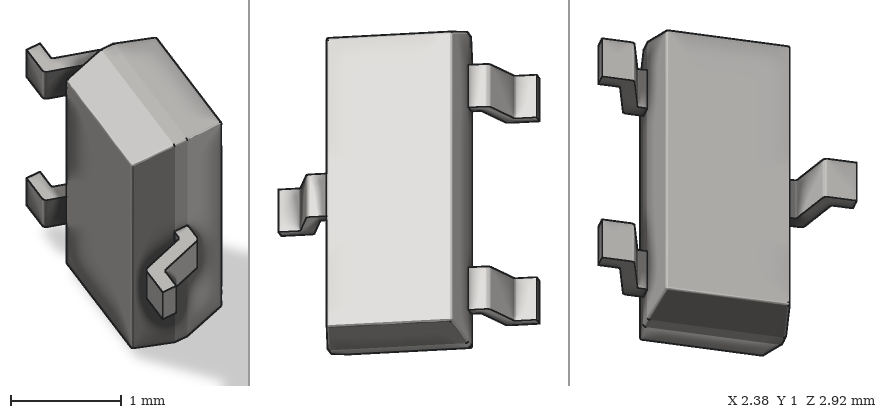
import cadquery as cq


housing_length = 2.92
housing_width = 1.3
face_length = 2.713
face_width = 1.155
front_y = 0.045
back_y = 1.0
band_height = 0.135
edge_radius = 0.023

lead_span = 2.38
lead_thickness = 0.143
lead_width = 0.4
lead_offset = 0.95
shoulder_y = 0.59
outer_knee_x = 0.84
inner_knee_x = 0.742
slope_run = 0.145
outer_bend_radius = 0.047
inner_bend_radius = 0.02

band_back_y = shoulder_y
band_front_y = band_back_y - band_height
root_x = housing_width / 2
toe_x = lead_span / 2


def rounded_outline(width, length):
    """Rectangular cross-section of the housing with rounded corners."""
    return cq.Sketch().rect(width, length).vertices().fillet(edge_radius)


def tapered_half(base_y, end_y):
    """Half of the housing, narrowing from the central band to a round-edged end face."""
    direction = 1 if end_y > base_y else -1
    base_plane = cq.Plane(origin=(0, base_y, 0), xDir=(1, 0, 0), normal=(0, direction, 0))
    base_outline = rounded_outline(housing_width, housing_length)
    end_outline = rounded_outline(face_width, face_length)
    end_location = cq.Location(cq.Vector(0, 0, abs(end_y - base_y)))
    return (
        cq.Workplane(base_plane)
        .placeSketch(base_outline, end_outline.moved(end_location))
        .loft(ruled=True)
        .faces(">Y" if direction > 0 else "<Y")
        .edges()
        .fillet(edge_radius)
    )


def make_housing():
    """Straight band between two tapered halves."""
    band = (
        cq.Workplane("XZ", origin=(0, band_back_y, 0))
        .placeSketch(rounded_outline(housing_width, housing_length))
        .extrude(band_height)
    )
    return (
        band
        .union(tapered_half(band_back_y, back_y))
        .union(tapered_half(band_front_y, front_y))
    )


def make_lead(side, center_z):
    """Gull-wing lead from the housing wall to its foot; side is -1 for -X and +1 for +X."""
    outline = [
        (root_x, shoulder_y),
        (outer_knee_x, shoulder_y),
        (outer_knee_x + slope_run, lead_thickness),
        (toe_x, lead_thickness),
        (toe_x, 0),
        (inner_knee_x + slope_run, 0),
        (inner_knee_x, shoulder_y - lead_thickness),
        (root_x, shoulder_y - lead_thickness),
    ]
    blank = (
        cq.Workplane("XY", origin=(0, 0, center_z))
        .polyline([(side * x, y) for x, y in outline])
        .close()
        .extrude(lead_width / 2, both=True)
    )

    def bend_edge(x, y):
        return cq.selectors.NearestToPointSelector((side * x, y, center_z))

    return (
        blank
        .edges(bend_edge(outer_knee_x, shoulder_y))
        .fillet(outer_bend_radius)
        .edges(bend_edge(inner_knee_x + slope_run, 0))
        .fillet(outer_bend_radius)
        .edges(bend_edge(outer_knee_x + slope_run, lead_thickness))
        .fillet(inner_bend_radius)
        .edges(bend_edge(inner_knee_x, shoulder_y - lead_thickness))
        .fillet(inner_bend_radius)
    )


housing = make_housing().union(make_lead(1, 0))

leads = [make_lead(-1, center_z) for center_z in (-lead_offset, lead_offset)]

result = cq.Compound.makeCompound([housing.solids().val(), *[lead.solids().val() for lead in leads]])